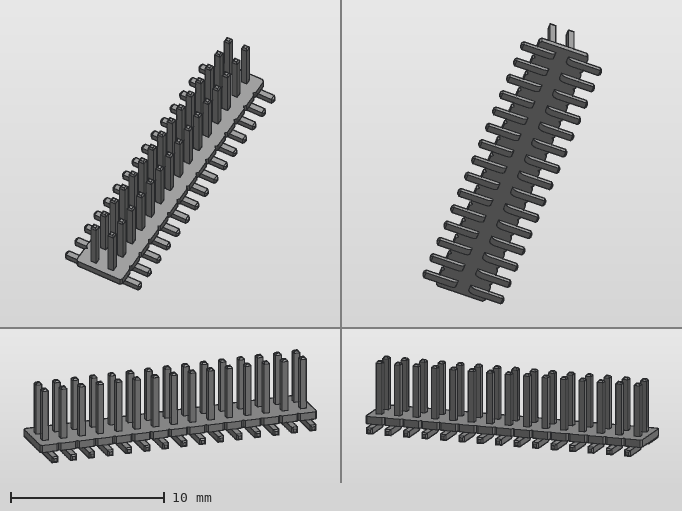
import cadquery as cq
import math

length = 19.05
positions = 15
overall_width = 5.56
overall_height = 4.4
body_width = 3.4
body_thickness = 0.5
body_chamfer = 0.13
pin_size = 0.4
tip_inset = 0.1
tip_length = 0.11

pitch = length / positions
row_offset = pitch / 2
pin_inner_face = row_offset - pin_size / 2
bend_radius = pin_size
body_bottom = pin_size


def make_body():
    """Row of identical chamfered blocks; meeting chamfers form the V-notches."""
    block = (
        cq.Workplane("XY")
        .box(body_width, pitch, body_thickness, centered=(True, True, False))
        .edges("|Z")
        .chamfer(body_chamfer)
    )
    body = cq.Workplane("XY")
    for y in pair_positions():
        body = body.union(block.translate((0, y, body_bottom)))
    return body


def pair_positions():
    """Y position of each pin pair, symmetric about the origin."""
    return [(i - (positions - 1) / 2) * pitch for i in range(positions)]


def make_tip():
    """Tapered square pin end, pointing along +Z from the origin."""
    end_size = pin_size - 2 * tip_inset
    return (
        cq.Workplane("XY")
        .rect(pin_size, pin_size)
        .workplane(offset=tip_length)
        .rect(end_size, end_size)
        .loft(ruled=True)
    )


def make_terminal():
    """Upright pin on the +X side, bent outward into a flat solder lead."""
    lead_end = overall_width / 2 - tip_length
    post_end = overall_height - tip_length
    corner_reach = bend_radius * math.cos(math.pi / 4)
    bend_center_x = pin_inner_face + bend_radius
    profile = (
        cq.Workplane("XZ")
        .moveTo(pin_inner_face, post_end)
        .lineTo(pin_inner_face, bend_radius)
        .threePointArc(
            (bend_center_x - corner_reach, bend_radius - corner_reach),
            (bend_center_x, 0),
        )
        .lineTo(lead_end, 0)
        .lineTo(lead_end, pin_size)
        .lineTo(pin_inner_face + pin_size, pin_size)
        .lineTo(pin_inner_face + pin_size, post_end)
        .close()
    )
    terminal = profile.extrude(pin_size / 2, both=True)
    tip = make_tip()
    post_tip = tip.translate((row_offset, 0, post_end))
    lead_tip = tip.rotate((0, 0, 0), (0, 1, 0), 90).translate((lead_end, 0, pin_size / 2))
    return terminal.union(post_tip).union(lead_tip)


right_terminal = make_terminal()
left_terminal = right_terminal.mirror("YZ")

result = make_body()
for y in pair_positions():
    result = result.union(right_terminal.translate((0, y, 0)))
    result = result.union(left_terminal.translate((0, y, 0)))